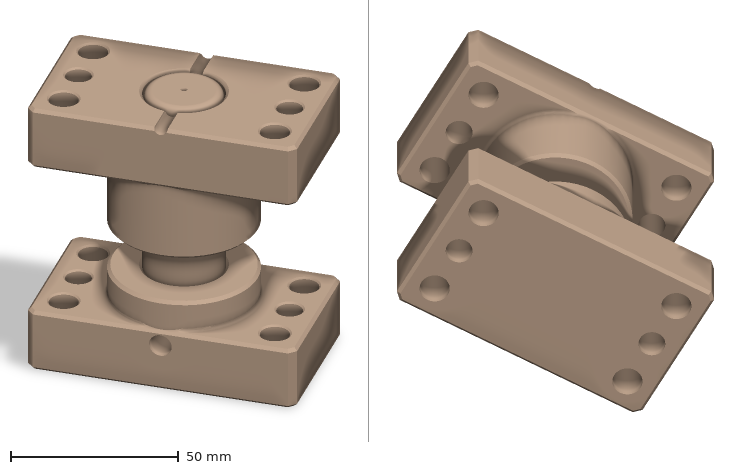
import cadquery as cq
import math

TOTAL_HEIGHT = 90.0
PLATE_LENGTH = 84.0
PLATE_DEPTH = 48.0
PLATE_THICKNESS = 20.1
CORNER_CHAMFER = 2.2
EDGE_CHAMFER = 1.0
POST_PROTRUSION = 0.45

COLLAR_CHAMFER = 1.0
BLEND_RADIUS = 1.0
FLANGE_HEIGHT = 9.9
BUSHING_LENGTH = 24.75

BOLT_DIAMETER = 9.0
DOWEL_DIAMETER = 8.0
HOLE_CHAMFER = 0.5
HOLE_SPACING_X = 65.9
HOLE_PITCH_Y = 14.9

POST_DIAMETER = 25.0
BORE_CHAMFER = 0.9
LEAD_DIAMETER = 23.9
LEAD_LENGTH = 5.0
TIP_RADIUS = 2.4
CENTRE_PIT_DIAMETER = 2.0
CENTRE_PIT_ANGLE = 60

VENT_RADIUS = 2.1
SCREW_HOLE_DIAMETER = 7.0
SCREW_HOLE_DROP = 4.95
NOTCH_FLOOR_WIDTH = 5.6
NOTCH_DEPTH = 1.0

FLAT_HALF_DEPTH = PLATE_DEPTH / 2 - EDGE_CHAMFER
COLLAR_RADIUS = FLAT_HALF_DEPTH
POST_RADIUS = POST_DIAMETER / 2
LEAD_RADIUS = LEAD_DIAMETER / 2
UPPER_TOP = TOTAL_HEIGHT - POST_PROTRUSION
UPPER_BOTTOM = UPPER_TOP - PLATE_THICKNESS
FLANGE_TOP = PLATE_THICKNESS + FLANGE_HEIGHT
SCREW_HOLE_Z = PLATE_THICKNESS - SCREW_HOLE_DROP


def cylinder(radius, bottom, height):
    """Upright cylinder on the post axis."""
    return cq.Workplane("XY", origin=(0, 0, bottom)).circle(radius).extrude(height)


def countersinks(points, mouth_radius, top, depth):
    """45-degree countersinks, `depth` deep, at the given points of a face at height `top`."""
    return (
        cq.Workplane("XY", origin=(0, 0, top))
        .pushPoints(points)
        .circle(mouth_radius)
        .extrude(-depth, taper=45)
    )


def drill(body, points, diameter, bottom, top):
    """Cut vertical through holes with a chamfered upper rim."""
    holes = (
        cq.Workplane("XY", origin=(0, 0, bottom))
        .pushPoints(points)
        .circle(diameter / 2)
        .extrude(top - bottom)
    )
    rims = countersinks(points, diameter / 2 + HOLE_CHAMFER, top, HOLE_CHAMFER)
    return body.cut(holes).cut(rims)


def plate(bottom):
    """Chamfered block with two bolt holes and a dowel hole at each end."""
    block = (
        cq.Workplane("XY", origin=(0, 0, bottom))
        .rect(PLATE_LENGTH, PLATE_DEPTH)
        .extrude(PLATE_THICKNESS)
        .edges("|Z")
        .chamfer(CORNER_CHAMFER)
        .faces("<Z or >Z")
        .edges()
        .chamfer(EDGE_CHAMFER)
    )
    ends = (-HOLE_SPACING_X / 2, HOLE_SPACING_X / 2)
    bolts = [(x, y) for x in ends for y in (-HOLE_PITCH_Y, HOLE_PITCH_Y)]
    dowels = [(x, 0) for x in ends]
    top = bottom + PLATE_THICKNESS
    block = drill(block, bolts, BOLT_DIAMETER, bottom, top)
    return drill(block, dowels, DOWEL_DIAMETER, bottom, top)


def collar(base, height):
    """Round collar rising from a plate face, its root blended into the plate.

    The collar is as wide as the flat of the plate face, so the root blend is trimmed
    by the plate's edge chamfer planes where the two meet.
    """
    barrel = cylinder(COLLAR_RADIUS, base, height).faces(">Z").edges().chamfer(COLLAR_CHAMFER)
    root_radius = COLLAR_RADIUS + BLEND_RADIUS
    blend_top = base + BLEND_RADIUS
    arc_middle_offset = BLEND_RADIUS * (1 - math.sqrt(0.5))
    blend = (
        cq.Workplane("XZ")
        .moveTo(0, base)
        .lineTo(root_radius, base)
        .threePointArc(
            (COLLAR_RADIUS + arc_middle_offset, base + arc_middle_offset),
            (COLLAR_RADIUS, blend_top),
        )
        .lineTo(0, blend_top)
        .close()
        .revolve(360, (0, 0, 0), (0, 1, 0))
    )
    chamfer_wedge = (
        cq.Workplane("YZ")
        .polyline([(-FLAT_HALF_DEPTH, base), (FLAT_HALF_DEPTH, base), (0, base + FLAT_HALF_DEPTH)])
        .close()
        .extrude(PLATE_LENGTH / 2, both=True)
    )
    return barrel.union(blend.intersect(chamfer_wedge))


def bore(body, bottom, top):
    """Cut the post bore with a chamfered upper mouth."""
    mouth = countersinks([(0, 0)], POST_RADIUS + BORE_CHAMFER, top, BORE_CHAMFER)
    return body.cut(cylinder(POST_RADIUS, bottom, top - bottom)).cut(mouth)


def make_lower_holder():
    """Base plate with a flange, the post bore and a screw hole reaching the post."""
    holder = plate(0).union(collar(PLATE_THICKNESS, FLANGE_HEIGHT))
    holder = bore(holder, 0, FLANGE_TOP)
    screw_hole = (
        cq.Workplane("XZ", origin=(0, 0, SCREW_HOLE_Z))
        .circle(SCREW_HOLE_DIAMETER / 2)
        .extrude(PLATE_DEPTH / 2)
    )
    return holder.cut(screw_hole)


def make_upper_holder():
    """Top plate with a hanging guide bushing, the post bore and a vent groove across the top."""
    bushing = collar(0, BUSHING_LENGTH).rotate((0, 0, 0), (1, 0, 0), 180)
    bushing = bushing.translate((0, 0, UPPER_BOTTOM))
    holder = plate(UPPER_BOTTOM).union(bushing)
    holder = bore(holder, UPPER_BOTTOM - BUSHING_LENGTH, UPPER_TOP)
    vent = (
        cq.Workplane("XZ", origin=(0, 0, UPPER_TOP))
        .moveTo(-VENT_RADIUS, 0)
        .threePointArc((0, -VENT_RADIUS), (VENT_RADIUS, 0))
        .close()
        .extrude(PLATE_DEPTH / 2, both=True)
    )
    return holder.cut(vent)


def make_post():
    """Guide post with a rounded lead, a centre pit on top and a screw notch around its foot."""
    shank = cylinder(POST_RADIUS, 0, TOTAL_HEIGHT - LEAD_LENGTH)
    lead = cylinder(LEAD_RADIUS, TOTAL_HEIGHT - LEAD_LENGTH, LEAD_LENGTH)
    lead = lead.faces(">Z").edges().fillet(TIP_RADIUS)
    pit_radius = CENTRE_PIT_DIAMETER / 2
    pit_depth = pit_radius / math.tan(math.radians(CENTRE_PIT_ANGLE / 2))
    pit = cq.Workplane(cq.Solid.makeCone(0, pit_radius, pit_depth))
    pit = pit.translate((0, 0, TOTAL_HEIGHT - pit_depth))
    floor_radius = POST_RADIUS - NOTCH_DEPTH
    floor_half = NOTCH_FLOOR_WIDTH / 2
    mouth_half = floor_half + NOTCH_DEPTH
    notch = (
        cq.Workplane("XZ")
        .polyline(
            [
                (floor_radius, SCREW_HOLE_Z - floor_half),
                (POST_RADIUS, SCREW_HOLE_Z - mouth_half),
                (POST_RADIUS, SCREW_HOLE_Z + mouth_half),
                (floor_radius, SCREW_HOLE_Z + floor_half),
            ]
        )
        .close()
        .revolve(360, (0, 0, 0), (0, 1, 0))
    )
    return shank.union(lead).cut(pit).cut(notch)


lower_holder = make_lower_holder()
upper_holder = make_upper_holder()
post = make_post()

bodies = (lower_holder, upper_holder, post)
result = cq.Compound.makeCompound([body.solids().val() for body in bodies])